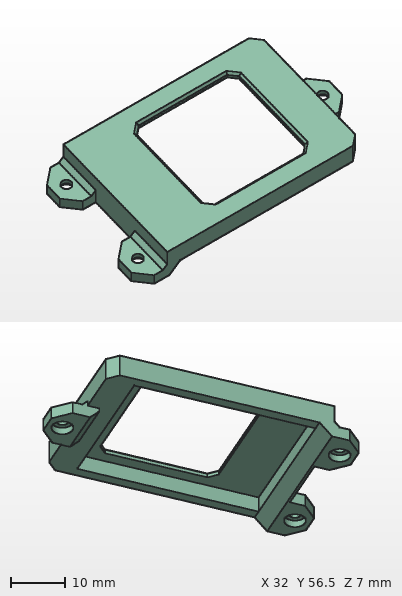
import cadquery as cq

length = 56.55
width = 32.05
height = 7.0
tab_thickness = 2.5
tab_length = 6.0
tab_width = 10.0
tab_corner = 3.0
hole_diameter = 2.2
hole_from_tip = 3.0
counterbore_diameter = 4.0
counterbore_depth = 1.45
ramp = 1.0
body_corner = 2.0

plate_thickness = 1.3
side_wall = 2.0
front_wall = 3.0
rear_wall = 5.6
rear_foot_depth = 2.3
foot_flat = 0.5

window_size = 24.5
window_corner = 1.6
window_bevel = 0.5
window_from_rear = 8.1

front_tip = -length / 2
rear_tip = length / 2
front_face = front_tip + tab_length
rear_face = rear_tip - tab_length
body_length = rear_face - front_face
window_y = rear_face - window_from_rear - window_size / 2
front_tab_x = (width - tab_width) / 2


def make_body():
    """Tray with cut rear corners and a cavity open at the bottom."""
    body = (
        cq.Workplane("XY", origin=(0, 0, tab_thickness))
        .rect(width, body_length)
        .extrude(height - tab_thickness)
        .edges("|Z and >Y")
        .chamfer(body_corner)
    )
    cavity = (
        cq.Workplane("XY", origin=(0, (front_wall - rear_wall) / 2, tab_thickness))
        .rect(width - 2 * side_wall, body_length - front_wall - rear_wall)
        .extrude(height - tab_thickness - plate_thickness)
    )
    return body.cut(cavity)


def cut_window(body):
    """Cut the window, then bevel the edge it leaves on the top face."""
    throat_size = window_size - 2 * window_bevel
    throat = (
        cq.Workplane("XY", origin=(0, window_y, height - plate_thickness))
        .rect(throat_size, throat_size)
        .extrude(plate_thickness)
        .edges("|Z")
        .chamfer(window_corner)
    )
    rim = cq.selectors.BoxSelector(
        (-window_size / 2, window_y - window_size / 2, height - window_bevel / 2),
        (window_size / 2, window_y + window_size / 2, height + window_bevel / 2),
    )
    return body.cut(throat).edges(rim).chamfer(window_bevel)


def make_front_foot():
    """Full-width ridge under the front wall, sloping up to the body."""
    return (
        cq.Workplane("YZ")
        .moveTo(front_face, 0)
        .lineTo(front_face + foot_flat, 0)
        .lineTo(front_face + foot_flat + tab_thickness, tab_thickness)
        .lineTo(front_face, tab_thickness)
        .close()
        .extrude(width / 2, both=True)
    )


def make_tab(x, face, outward, foot_depth):
    """Screw tab at an end face; outward is +1 at the rear and -1 at the front."""
    tip = face + outward * tab_length
    foot_rise = foot_depth - foot_flat
    strap = (
        cq.Workplane("YZ", origin=(x, 0, 0))
        .moveTo(tip, 0)
        .lineTo(face - outward * foot_flat, 0)
        .lineTo(face - outward * foot_depth, foot_rise)
        .lineTo(face - outward * foot_depth, tab_thickness + ramp)
        .lineTo(face, tab_thickness + ramp)
        .lineTo(face + outward * ramp, tab_thickness)
        .lineTo(tip, tab_thickness)
        .close()
        .extrude(tab_width / 2, both=True)
    )
    tab = strap.edges("|Z and >Y" if outward > 0 else "|Z and <Y").chamfer(tab_corner)
    base = cq.Workplane("XY", origin=(x, tip - outward * hole_from_tip, 0))
    hole = base.circle(hole_diameter / 2).extrude(tab_thickness)
    counterbore = base.circle(counterbore_diameter / 2).extrude(counterbore_depth)
    return tab.cut(hole).cut(counterbore)


result = cut_window(make_body()).union(make_front_foot())
for tab_x in (-front_tab_x, front_tab_x):
    result = result.union(make_tab(tab_x, front_face, -1, front_wall))
result = result.union(make_tab(0, rear_face, 1, rear_foot_depth))